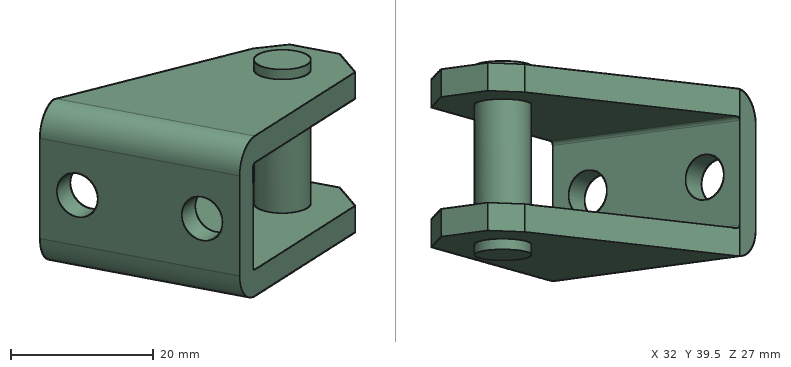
import cadquery as cq

width = 32.0
length = 39.5
height = 24.0
thickness = 4.0
bend_outer_radius = 4.5
bend_inner_radius = bend_outer_radius - thickness

taper_start_y = thickness
shoulder_x = 14.8
shoulder_drop = 3.85
tip_left_x = 18.53
tip_chamfer = 5.5

pin_diameter = 8.0
pin_length = 27.0
pin_edge_distance = 9.48
pin_x = width - pin_edge_distance
pin_y = 30.0

hole_diameter = 6.5
hole_edge_distance = 6.0
hole_spacing = 20.0
hole_count = 2


def make_channel():
    """U channel of constant section, centred on Z = 0."""
    outer = (
        cq.Workplane("XY")
        .box(width, length, height, centered=(False, False, True))
        .edges("|X and <Y")
        .fillet(bend_outer_radius)
    )
    inner = (
        cq.Workplane("XY")
        .box(width, length, height - 2 * thickness, centered=(False, False, True))
        .translate((0, thickness, 0))
        .edges("|X and <Y")
        .fillet(bend_inner_radius)
    )
    return outer.cut(inner)


def make_ear_profile():
    """Prism that trims the channel to the tapered ear outline."""
    return (
        cq.Workplane("XY")
        .polyline([
            (0, 0),
            (width, 0),
            (width, length - tip_chamfer),
            (width - tip_chamfer, length),
            (tip_left_x, length),
            (shoulder_x, length - shoulder_drop),
            (0, taper_start_y),
        ])
        .close()
        .extrude(height / 2, both=True)
    )


def make_pin():
    return (
        cq.Workplane("XY")
        .center(pin_x, pin_y)
        .circle(pin_diameter / 2)
        .extrude(pin_length / 2, both=True)
    )


def make_mounting_holes():
    """Cutters that pass through the web only, no deeper than twice its thickness."""
    hole_centers = [(hole_edge_distance + i * hole_spacing, 0) for i in range(hole_count)]
    return (
        cq.Workplane("XZ")
        .pushPoints(hole_centers)
        .circle(hole_diameter / 2)
        .extrude(-2 * thickness)
    )


bracket = make_channel().intersect(make_ear_profile()).cut(make_mounting_holes())
result = bracket.union(make_pin())